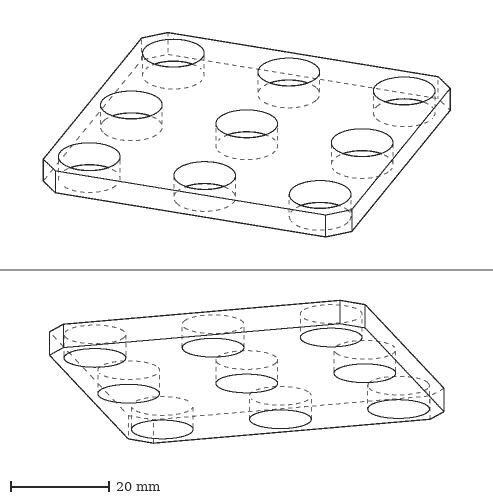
import cadquery as cq

side = 67.0
thickness = 5.0
corner_chamfer = 4.15

holes_per_side = 3
hole_pitch = 25.05
hole_diameter = 12.6

plate = cq.Workplane("XY").box(side, side, thickness).edges("|Z").chamfer(corner_chamfer)

result = (
    plate.faces(">Z")
    .workplane()
    .rarray(hole_pitch, hole_pitch, holes_per_side, holes_per_side)
    .hole(hole_diameter)
)